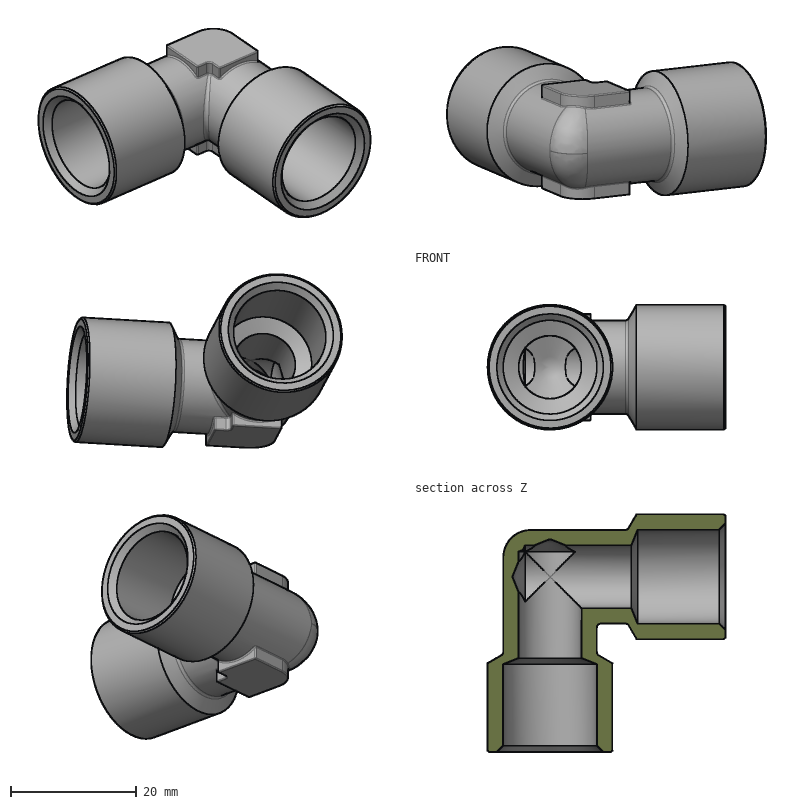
import cadquery as cq
import math

elbow_span = 38.0
socket_radius = 10.0
leg_length = elbow_span - socket_radius
socket_start = 13.8
neck_radius = 7.5
shoulder_angle = 30.0
shoulder_length = (socket_radius - neck_radius) * math.tan(math.radians(shoulder_angle))
neck_fillet = 0.57
rim_chamfer = 0.25

bore_radius = 5.0
bore_overrun = 4.0
tip_slope = 0.4
counterbore_radius = 7.5
counterbore_end = 14.0
mouth_radius = 8.5
mouth_chamfer = mouth_radius - counterbore_radius

outer_corner_fillet = 4.4
inner_corner_fillet = 0.6

pad_height = 8.5
pad_near = 4.0
pad_far = 6.5
notch_fillet = 0.7
pad_edge_fillet = 0.2
pad_root_fillet = 0.23
root_low = 6.08
root_high = 7.22
face_margin = 0.05


def other_leg(leg):
    """Mirror a +X leg across the mitre plane y = -x to get the -Y leg."""
    return leg.mirror("XY").rotate((0, 0, 0), (1, -1, 0), 180)


def leg_body():
    """Solid +X leg: neck, shoulder cone and socket, cut off on the mitre plane."""
    profile = [
        (-neck_radius, 0),
        (-neck_radius, neck_radius),
        (socket_start - shoulder_length, neck_radius),
        (socket_start, socket_radius),
        (leg_length - rim_chamfer, socket_radius),
        (leg_length, socket_radius - rim_chamfer),
        (leg_length, 0),
    ]
    leg = cq.Workplane("XY").polyline(profile).close().revolve(360, (0, 0, 0), (1, 0, 0))
    neck_end = cq.NearestToPointSelector((socket_start - shoulder_length, 0, 0))
    leg = leg.edges("%CIRCLE").edges(neck_end).fillet(neck_fillet)
    mitre_side = (
        cq.Workplane("XY")
        .polyline([(-leg_length, leg_length), (leg_length, leg_length), (leg_length, -leg_length)])
        .close()
        .extrude(socket_radius, both=True)
    )
    return leg.intersect(mitre_side)


def leg_bore():
    """Stepped +X bore: chamfered mouth, counterbore and inner bore, both with conical ends."""
    step_end = counterbore_end - tip_slope * (counterbore_radius - bore_radius)
    profile = [
        (leg_length, 0),
        (leg_length, mouth_radius),
        (leg_length - mouth_chamfer, counterbore_radius),
        (counterbore_end, counterbore_radius),
        (step_end, bore_radius),
        (-bore_overrun, bore_radius),
        (-bore_overrun - tip_slope * bore_radius, 0),
    ]
    return cq.Workplane("XY").polyline(profile).close().revolve(360, (0, 0, 0), (1, 0, 0))


def pad_prism():
    """Prism for both pads, rounded on the closed side and notched inside the elbow."""
    prism = (
        cq.Workplane("XY")
        .moveTo(0, pad_near)
        .lineTo(pad_far, pad_near)
        .lineTo(pad_far, -pad_near)
        .lineTo(pad_near, -pad_near)
        .lineTo(pad_near, -pad_far)
        .lineTo(-pad_near, -pad_far)
        .lineTo(-pad_near, 0)
        .radiusArc((0, pad_near), pad_near)
        .close()
        .extrude(pad_height, both=True)
    )
    notch_corner = cq.NearestToPointSelector((pad_near, -pad_near, 0))
    prism = prism.edges("|Z").edges(notch_corner).fillet(notch_fillet)
    outer_corners = [
        (pad_far, pad_near),
        (pad_far, -pad_near),
        (pad_near, -pad_far),
        (-pad_near, -pad_far),
    ]
    for x, y in outer_corners:
        corner = cq.NearestToPointSelector((x, y, 0))
        prism = prism.edges("|Z").edges(corner).fillet(pad_edge_fillet)
    return prism


def centred_in(low, high):
    """Select edges whose centre lies in the box between two corner points."""
    return cq.selectors.BoxSelector(low, high)


body = leg_body().union(other_leg(leg_body())).union(pad_prism())

outer_mitre = centred_in((-neck_radius, pad_near, -neck_radius), (-pad_near, neck_radius, neck_radius))
body = body.edges(outer_mitre).edges("%ELLIPSE").fillet(outer_corner_fillet)
inner_mitre = centred_in((pad_near, -neck_radius, -neck_radius), (neck_radius, -pad_near, neck_radius))
body = body.edges(inner_mitre).edges("%ELLIPSE").fillet(inner_corner_fillet)

pad_reach = pad_far + pad_root_fillet
for low, high in ((root_low, root_high), (-root_high, -root_low)):
    root = centred_in((-pad_reach, -pad_reach, low), (pad_reach, pad_reach, high))
    body = body.edges(root).fillet(pad_root_fillet)
for face_z in (pad_height, -pad_height):
    face_rim = centred_in(
        (-pad_reach, -pad_reach, face_z - face_margin),
        (pad_reach, pad_reach, face_z + face_margin),
    )
    body = body.edges(face_rim).fillet(pad_edge_fillet)

result = body.cut(leg_bore()).cut(other_leg(leg_bore()))